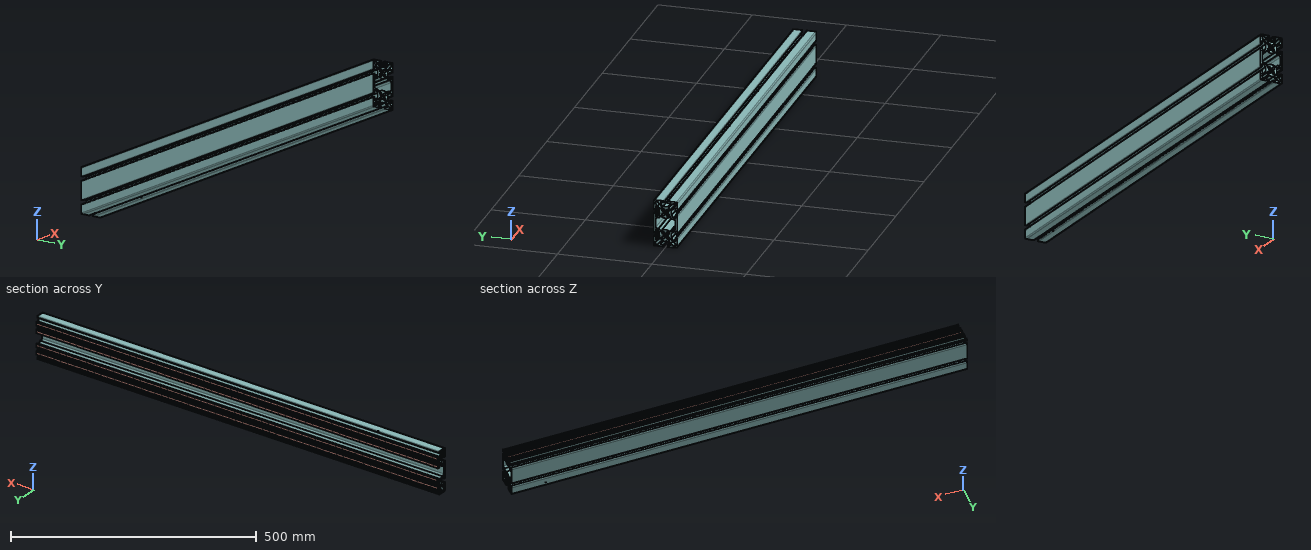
import cadquery as cq
import math

length = 1000.0
width = 50.0
height = 100.0
corner_radius = 2.5

slot_opening = 9.0
slot_cavity = 21.0
lip_thickness = 4.2
lip_fillet = 0.9
cavity_depth = 8.1

bore_radius = 5.0
lobe_count = 4
lobe_start_angle = 45
lobe_radius = 2.5
lobe_offset = 7.0

channel_offset = 4.5
channel_wall = 3.7
channel_fillet = 1.6

chamber_wall = 4.4
chamber_fillet = 3.0
chamber_core_gap = 0.8
arm_offset = 1.0

margin = 10.0
half_width = width / 2
core_height = height / 2 - half_width
core_radius = half_width - lip_thickness - cavity_depth
chamber_to_core_axis = core_radius + chamber_core_gap


def prism(points):
    return cq.Workplane("YZ").polyline(points).close().extrude(length)


def place(shape, angle, z):
    """Turn a shape about the X axis and lift it to a core axis."""
    return shape.rotate((0, 0, 0), (1, 0, 0), angle).translate((0, 0, z))


def make_core():
    return cq.Workplane("YZ").circle(core_radius).extrude(length)


def make_bore():
    bore = cq.Workplane("YZ").circle(bore_radius).extrude(length)
    lobes = (
        cq.Workplane("YZ")
        .polarArray(lobe_offset, lobe_start_angle, 360, lobe_count)
        .circle(lobe_radius)
        .extrude(length)
    )
    return bore.union(lobes)


def make_slot():
    """T-slot opening toward +Y, with a flat floor between 45 degree flanks."""
    mouth = slot_opening / 2
    flank = slot_cavity / 2
    floor_half = core_radius * math.tan(math.pi / 8)
    knee = core_radius + flank - floor_half
    lip_inside = half_width - lip_thickness
    lip_middle = half_width - lip_thickness / 2
    opening = cq.Workplane("YZ").center(lip_middle, 0).rect(lip_thickness, slot_opening).extrude(length)
    mouth_block = cq.Workplane("YZ").center(width, 0).rect(width, width).extrude(length)
    opening = opening.union(mouth_block)
    rounded_edges = cq.selectors.BoxSelector(
        (-margin, half_width - lip_fillet, -mouth - lip_fillet),
        (length + margin, half_width + lip_fillet, mouth + lip_fillet),
    )
    opening = opening.edges("|X").edges(rounded_edges).fillet(lip_fillet)
    cavity = prism([
        (lip_inside, flank),
        (knee, flank),
        (core_radius, floor_half),
        (core_radius, -floor_half),
        (knee, -flank),
        (lip_inside, -flank),
    ])
    return opening.union(cavity)


def make_channel(core):
    """Diagonal channel toward +Y +Z, from the core to the profile corner."""
    start = core_radius / 2
    end = half_width - channel_wall
    channel = prism([
        (start, start + channel_offset),
        (end - channel_offset, end),
        (end, end),
        (end, end - channel_offset),
        (start + channel_offset, start),
    ])
    inner_bound = end - channel_offset - channel_fillet
    outer_edges = cq.selectors.BoxSelector(
        (-margin, inner_bound, inner_bound),
        (length + margin, width, width),
    )
    return channel.edges("|X").edges(outer_edges).fillet(channel_fillet).cut(core)


def make_chamber(core):
    side = half_width - chamber_wall
    top = core_height - chamber_to_core_axis
    shoulder = chamber_to_core_axis + arm_offset
    peak = core_height + arm_offset
    chamber = prism([
        (side, -top),
        (side, top),
        (shoulder, top),
        (0, peak),
        (-shoulder, top),
        (-side, top),
        (-side, -top),
        (-shoulder, -top),
        (0, -peak),
        (shoulder, -top),
    ])
    chamber = chamber.faces("<Y or >Y").edges("|X").fillet(chamber_fillet)
    for z in (core_height, -core_height):
        chamber = chamber.cut(place(core, 0, z))
    return chamber


core = make_core()
bore = make_bore()
slot = make_slot()
channel = make_channel(core)

result = cq.Workplane("YZ").rect(width, height).extrude(length).edges("|X").fillet(corner_radius)
result = result.cut(make_chamber(core))

for z, slot_angles, channel_angles in (
    (core_height, (0, 90, 180), (0, 90)),
    (-core_height, (0, 180, 270), (180, 270)),
):
    result = result.cut(place(bore, 0, z))
    for angle in slot_angles:
        result = result.cut(place(slot, angle, z))
    for angle in channel_angles:
        result = result.cut(place(channel, angle, z))